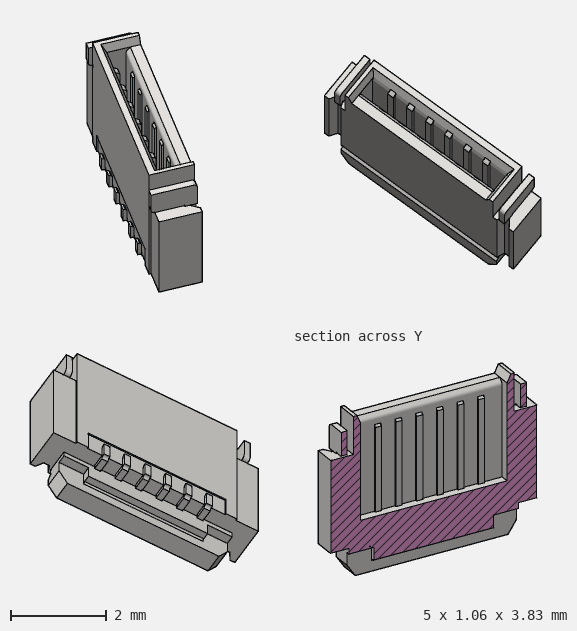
import cadquery as cq
import math

OVERLAP = 0.05

body_half_width = 1.955
body_depth = 1.0
body_height = 3.1

side_wall = 0.09
front_wall = 0.15
mouth_inset = 0.093
front_bevel_inset = 0.103
mouth_drop = 0.19
back_wall = 0.23
cavity_back = 0.324
lead_in_drop = 0.11
lead_in_round = 0.11
front_lead_in = 0.031
cavity_floor = 0.6

wing_half_span = 2.5
wing_depth = 0.955
wing_height = 2.2
notch_outer_x = 2.38
notch_outer_base_x = 2.27
notch_inner_base_x = 2.13
notch_inner_x = 2.062
notch_depth = 0.17

tab_x = 2.174
tab_thickness = 0.148
tab_back = 0.025
tab_front = 1.05
tab_top = 2.8
tab_gap = 0.03
tab_stem_depth = 0.28
tab_round = 0.1

tongue_half_width = 2.055
tongue_bottom = 0.73
tongue_back = 0.01
tongue_neck_back = 0.094
tongue_neck_height = 0.14
tongue_back_bevel = 0.1
tongue_front = 0.435
tongue_corner_width = 0.205
tongue_corner_height = 0.3
ledge_front = 0.635
ledge_half_width = 1.455
ledge_height = 0.435
rib_height = 0.135
ledge_bevel = 0.04

pin_count = 6
pin_pitch = 0.5
pin_width = 0.148
pin_front = 1.05
pin_back = 0.66
pin_top = 0.31
pin_bottom = 0.105
pin_scoop = 0.065
pin_scoop_inset = 0.03
pin_tip_bevel = 0.05
pin_tip_flat = 0.044
rear_contact_top = 2.65
rear_contact_bevel = 0.05
rear_contact_depth = 0.042
front_contact_y = 0.65
front_contact_bevel = 0.025
front_contact_drop = 0.05

window_half_width = 1.68
window_height = 0.5
window_depth = 0.03

lead_in_top = body_height - mouth_drop
lead_in_bottom = lead_in_top - lead_in_drop
cavity_half_width = body_half_width - side_wall - mouth_inset
mouth_front = body_depth - front_wall
bevel_front = mouth_front - front_bevel_inset
cavity_front = bevel_front - front_lead_in
pin_inner = body_depth - window_depth


def block(x0, x1, y0, y1, z0, z1):
    return cq.Workplane("XY").box(x1 - x0, y1 - y0, z1 - z0, centered=False).translate((x0, y0, z0))


def slab(points, x_center, width):
    """Extrude a (Y, Z) outline along X, centred on x_center."""
    outline = cq.Workplane("YZ", origin=(x_center, 0, 0)).polyline(points).close()
    return outline.extrude(width / 2, both=True)


def make_mouth():
    """Bevelled mouth, open to the rear above the low back wall."""
    front_slope = slab(
        [
            (OVERLAP, lead_in_top),
            (-bevel_front, lead_in_top),
            (-mouth_front, body_height),
            (OVERLAP, body_height),
        ],
        0,
        2 * body_half_width,
    )
    side_slopes = (
        cq.Workplane("XZ", origin=(0, OVERLAP, 0))
        .polyline(
            [
                (-cavity_half_width, lead_in_top),
                (cavity_half_width, lead_in_top),
                (cavity_half_width + mouth_inset, body_height),
                (-cavity_half_width - mouth_inset, body_height),
            ]
        )
        .close()
        .extrude(body_depth)
    )
    return front_slope.intersect(side_slopes)


def make_cavity():
    shaft = slab(
        [
            (-back_wall, lead_in_top),
            (-cavity_back, lead_in_bottom),
            (-cavity_back, cavity_floor),
            (-cavity_front, cavity_floor),
            (-cavity_front, lead_in_bottom),
            (-bevel_front, lead_in_top),
        ],
        0,
        2 * cavity_half_width,
    )
    rear_bend = cq.selectors.NearestToPointSelector((0, -cavity_back, lead_in_bottom))
    shaft = shaft.edges(rear_bend).fillet(lead_in_round)
    return shaft.union(make_mouth())


def make_body():
    body = block(-body_half_width, body_half_width, -body_depth, 0, 0, body_height)
    window = block(
        -window_half_width, window_half_width, -body_depth, -pin_inner, 0, window_height
    )
    return body.cut(make_cavity()).cut(window)


def make_wing():
    """Wing on the +X side."""
    return (
        cq.Workplane("XY")
        .polyline(
            [
                (body_half_width - OVERLAP, -wing_depth),
                (wing_half_span, -wing_depth),
                (wing_half_span, 0),
                (notch_outer_x, 0),
                (notch_outer_base_x, -notch_depth),
                (notch_inner_base_x, -notch_depth),
                (notch_inner_x, 0),
                (body_half_width - OVERLAP, 0),
            ]
        )
        .close()
        .extrude(wing_height)
    )


def make_tab():
    """Hold-down tab on the +X side: a stem on the wing with a forward overhang."""
    overhang_z = wing_height + tab_gap
    plate = block(
        tab_x - tab_thickness / 2,
        tab_x + tab_thickness / 2,
        -tab_front,
        -tab_back,
        overhang_z,
        tab_top,
    )
    plate = plate.edges("|X and >Y and >Z").fillet(tab_round)
    plate = plate.edges("|X and <Y and <Z").fillet(tab_round)
    stem = block(
        tab_x - tab_thickness / 2,
        tab_x + tab_thickness / 2,
        -tab_back - tab_stem_depth,
        -tab_back,
        wing_height,
        overhang_z,
    )
    return plate.union(stem)


def make_tongue():
    bevel_end = tongue_neck_height + tongue_back_bevel
    plate = slab(
        [
            (-tongue_neck_back, OVERLAP),
            (-tongue_neck_back, -tongue_neck_height),
            (tongue_back, -bevel_end),
            (tongue_back, -tongue_bottom),
            (-tongue_front, -tongue_bottom),
            (-tongue_front, OVERLAP),
        ],
        0,
        2 * tongue_half_width,
    )
    plate = plate.intersect(
        cq.Workplane("XZ", origin=(0, body_depth, 0))
        .polyline(
            [
                (-tongue_half_width, OVERLAP),
                (-tongue_half_width, tongue_corner_height - tongue_bottom),
                (tongue_corner_width - tongue_half_width, -tongue_bottom),
                (tongue_half_width - tongue_corner_width, -tongue_bottom),
                (tongue_half_width, tongue_corner_height - tongue_bottom),
                (tongue_half_width, OVERLAP),
            ]
        )
        .close()
        .extrude(2 * body_depth)
    )
    rib = block(
        -tongue_half_width, tongue_half_width, -ledge_front, -tongue_front, -rib_height, OVERLAP
    )
    ledge = slab(
        [
            (-tongue_front, 0),
            (-ledge_front, 0),
            (-ledge_front, -ledge_height),
            (-tongue_front - ledge_bevel, -ledge_height),
            (-tongue_front, -ledge_height - ledge_bevel),
        ],
        0,
        2 * ledge_half_width,
    )
    return plate.union(rib).union(ledge)


def make_pin(x):
    """Solder pin under the body, bent up into the window."""
    scoop_y = -pin_front + pin_scoop_inset
    scoop_top = pin_scoop - pin_bottom
    outline = (
        cq.Workplane("YZ", origin=(x, 0, 0))
        .moveTo(-pin_back, OVERLAP)
        .lineTo(-pin_back, -pin_bottom)
        .lineTo(scoop_y + pin_scoop, -pin_bottom)
        .threePointArc(
            (
                scoop_y + pin_scoop * math.cos(math.pi / 4),
                -pin_bottom + pin_scoop * math.sin(math.pi / 4),
            ),
            (scoop_y, scoop_top),
        )
        .lineTo(-pin_front, scoop_top)
        .lineTo(-pin_front, pin_top)
        .lineTo(-pin_front + pin_tip_flat, pin_top)
        .lineTo(-pin_inner, pin_top - pin_tip_bevel)
        .lineTo(OVERLAP - pin_inner, pin_top - pin_tip_bevel)
        .lineTo(OVERLAP - pin_inner, OVERLAP)
        .close()
    )
    return outline.extrude(pin_width / 2, both=True)


def make_contacts(x):
    """Bevelled contact bars on the rear and front faces of the cavity."""
    front_top = lead_in_top - front_contact_drop
    base = cavity_floor - OVERLAP
    rear = slab(
        [
            (-cavity_back + OVERLAP, base),
            (-cavity_back + OVERLAP, rear_contact_top),
            (-cavity_back, rear_contact_top),
            (-cavity_back - rear_contact_depth, rear_contact_top - rear_contact_bevel),
            (-cavity_back - rear_contact_depth, base),
        ],
        x,
        pin_width,
    )
    front = slab(
        [
            (-bevel_front, base),
            (-bevel_front, lead_in_top),
            (-front_contact_y - front_contact_bevel, front_top),
            (-front_contact_y, front_top - front_contact_bevel),
            (-front_contact_y, base),
        ],
        x,
        pin_width,
    )
    return rear.union(front)


result = make_body().union(make_tongue())
for feature in (make_wing(), make_tab()):
    result = result.union(feature).union(feature.mirror("YZ"))
for index in range(pin_count):
    pin_x = (index - (pin_count - 1) / 2) * pin_pitch
    result = result.union(make_pin(pin_x)).union(make_contacts(pin_x))